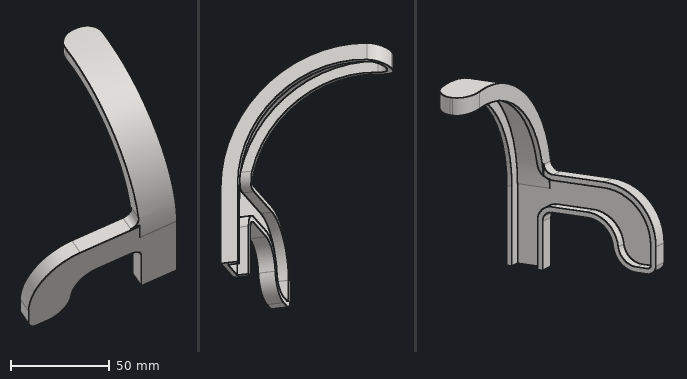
import cadquery as cq
import math

length_x = 88.0
length_y = 86.2
height = 111.5

thickness = 9.0
rim = 3.0
floor = 3.0

arm_width = 21.5
arm_radius = 69.3
arm_center_x = -arm_radius
arm_center_z = height - arm_radius
tip_radius = 10.0

stem_width = 20.8
branch_top = 51.3
branch_underside = 31.2
branch_radius = 30.0
hook_bottom = 6.0
hook_arc_y = 75.0
hook_radius = 13.7
bend_radius = 15.0
corner_radius = 5.0


def box(x_range, y_range, z_range):
    """Box spanning the given ranges."""
    sizes = [high - low for low, high in (x_range, y_range, z_range)]
    corner = (x_range[0], y_range[0], z_range[0])
    return cq.Workplane("XY").box(*sizes, centered=False).translate(corner)


def arm_cylinder(radius):
    """Cylinder about the arm axis, wide enough for the whole part."""
    return (
        cq.Workplane("XZ")
        .center(arm_center_x, arm_center_z)
        .circle(radius)
        .extrude(length_y)
    )


def arc_point(center, radius, angle):
    """Point on an arc at the given angle in degrees."""
    turn = math.radians(angle)
    return (center[0] + radius * math.cos(turn), center[1] + radius * math.sin(turn))


def side_outline(bottom):
    """Closed side outline; its first axis runs toward -Y and its second toward +Z."""
    diagonal = 45
    hook_center = (hook_arc_y, hook_bottom + hook_radius)
    bend_z = branch_underside - bend_radius
    rise = hook_center[1] - bend_z
    spread = math.sqrt((hook_radius + bend_radius) ** 2 - rise**2)
    bend_center = (hook_arc_y - spread, bend_z)
    joint_angle = math.degrees(math.atan2(rise, spread))
    joint = arc_point(bend_center, bend_radius, joint_angle)

    stem_corner = (stem_width + corner_radius, branch_underside - corner_radius)
    arm_corner = (arm_width + corner_radius, branch_top + corner_radius)
    branch_center = (length_y - branch_radius, branch_top - branch_radius)
    hook_corner = (length_y - corner_radius, hook_bottom + corner_radius)

    return (
        cq.Workplane(cq.Plane(origin=(0, 0, 0), xDir=(0, -1, 0), normal=(-1, 0, 0)))
        .moveTo(0, bottom)
        .lineTo(stem_width, bottom)
        .lineTo(stem_width, stem_corner[1])
        .threePointArc(
            arc_point(stem_corner, corner_radius, 180 - diagonal),
            (stem_corner[0], branch_underside),
        )
        .lineTo(bend_center[0], branch_underside)
        .threePointArc(arc_point(bend_center, bend_radius, (90 + joint_angle) / 2), joint)
        .threePointArc(
            arc_point(hook_center, hook_radius, (180 + joint_angle + 270) / 2),
            (hook_center[0], hook_bottom),
        )
        .lineTo(hook_corner[0], hook_bottom)
        .threePointArc(
            arc_point(hook_corner, corner_radius, -diagonal),
            (length_y, hook_corner[1]),
        )
        .lineTo(length_y, branch_center[1])
        .threePointArc(
            arc_point(branch_center, branch_radius, diagonal),
            (branch_center[0], branch_top),
        )
        .lineTo(arm_corner[0], branch_top)
        .threePointArc(
            arc_point(arm_corner, corner_radius, 180 + diagonal),
            (arm_width, arm_corner[1]),
        )
        .lineTo(arm_width, height + rim)
        .lineTo(0, height + rim)
        .close()
    )


def arm_envelope(inset):
    """Space above the arc center, with the tip rounded, shrunk by an inset at the tip and sides."""
    return box(
        (inset - length_x, 0), (inset - arm_width, -inset), (arm_center_z, height)
    ).edges("|Z and <X").fillet(tip_radius - inset)


pocket = side_outline(-2 * rim).offset2D(-rim).extrude(length_x)
flat_pocket = pocket.translate((-floor, 0, 0))

arm_zone = box((-length_x, 0), (-arm_width, 0), (arm_center_z, height + rim))
plate = side_outline(0).extrude(thickness).cut(arm_zone)
above_branch = box((-thickness, 0), (-length_y, 0), (branch_top, height))
plate = plate.cut(above_branch.cut(arm_cylinder(arm_radius)))
plate = plate.cut(flat_pocket)

arm = arm_cylinder(arm_radius).cut(arm_cylinder(arm_radius - thickness))
arm = arm.intersect(arm_envelope(0))
behind_tip = box((tip_radius - length_x, 0), (-arm_width, 0), (arm_center_z, height))
arm_pocket_limits = arm_envelope(rim).union(behind_tip)
arm_pocket = pocket.intersect(arm_pocket_limits).intersect(arm_cylinder(arm_radius - floor))
arm = arm.cut(arm_pocket)

result = plate.union(arm)